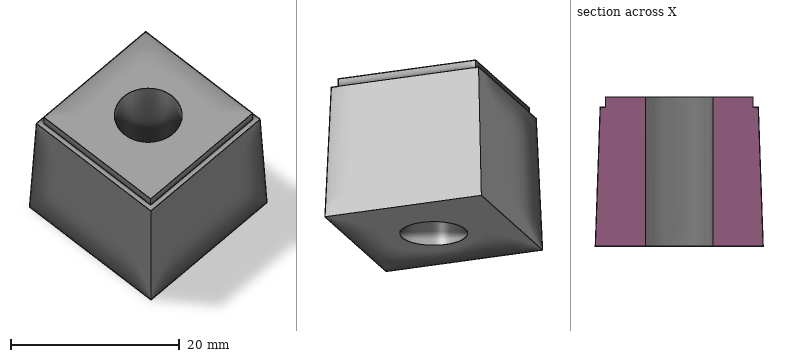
import cadquery as cq

base_side = 19.91
total_height = 17.7

pad_side = 17.5
pad_height = 1.2

body_height = total_height - pad_height
body_top_side = 18.75

hole_diameter = 8.0


def tapered_body():
    """Square block that narrows evenly from its base to its top."""
    return (
        cq.Workplane("XY")
        .rect(base_side, base_side)
        .workplane(offset=body_height)
        .rect(body_top_side, body_top_side)
        .loft(ruled=True)
    )


def top_pad():
    """Straight-sided square pad, inset from the body's top edge."""
    return (
        cq.Workplane("XY")
        .workplane(offset=body_height)
        .rect(pad_side, pad_side)
        .extrude(pad_height)
    )


def center_bore():
    """Round cutter along the vertical axis, through the full height."""
    return cq.Workplane("XY").circle(hole_diameter / 2).extrude(total_height)


result = tapered_body().union(top_pad()).cut(center_bore())